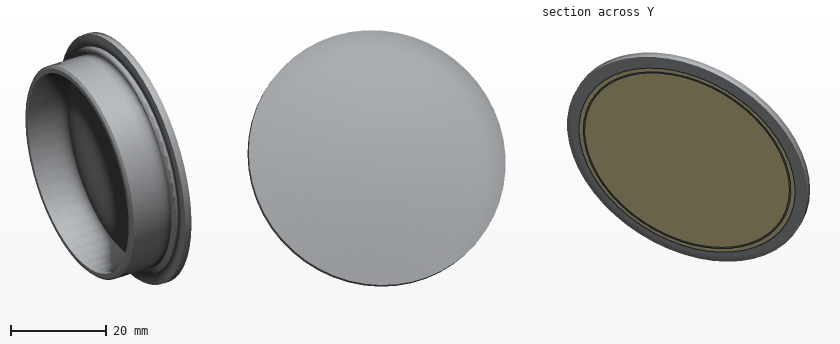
import cadquery as cq

flange_diameter = 55.0
flange_thickness = 1.5
total_height = 13.95
dome_height = 1.9

barrel_diameter = 46.95
bore_diameter = 44.0
bore_depth = 9.6
rim_chamfer = 0.5

bead_thickness = 1.55
bead_overlap = 0.05

flange_top = total_height - dome_height
flange_bottom = flange_top - flange_thickness
flange_radius = flange_diameter / 2
barrel_radius = barrel_diameter / 2
bore_radius = bore_diameter / 2


def make_body():
    """Solid cap with a domed flange and a chamfered barrel, revolved about Y."""
    dome_radius = (flange_radius**2 + dome_height**2) / (2 * dome_height)
    dome_center = total_height - dome_radius
    mid_x = flange_radius / 2
    mid_y = dome_center + (dome_radius**2 - mid_x**2) ** 0.5
    return (
        cq.Workplane("XY")
        .moveTo(0, 0)
        .lineTo(barrel_radius - rim_chamfer, 0)
        .lineTo(barrel_radius, rim_chamfer)
        .lineTo(barrel_radius, flange_bottom)
        .lineTo(flange_radius, flange_bottom)
        .lineTo(flange_radius, flange_top)
        .threePointArc((mid_x, mid_y), (0, total_height))
        .close()
        .revolve(360, (0, 0, 0), (0, 1, 0))
    )


def make_bead():
    """Round sealing bead, slightly sunk into both the barrel and the flange."""
    bead_radius = bead_thickness / 2
    center_x = barrel_radius + bead_radius - bead_overlap
    center_y = flange_bottom - bead_radius + bead_overlap
    center = cq.Vector(0, center_y, 0)
    return cq.Workplane(cq.Solid.makeTorus(center_x, bead_radius, center, cq.Vector(0, 1, 0)))


def make_bore():
    """Blind bore opening at the rim."""
    return cq.Workplane("XZ").circle(bore_radius).extrude(-bore_depth)


result = make_body().union(make_bead()).cut(make_bore())